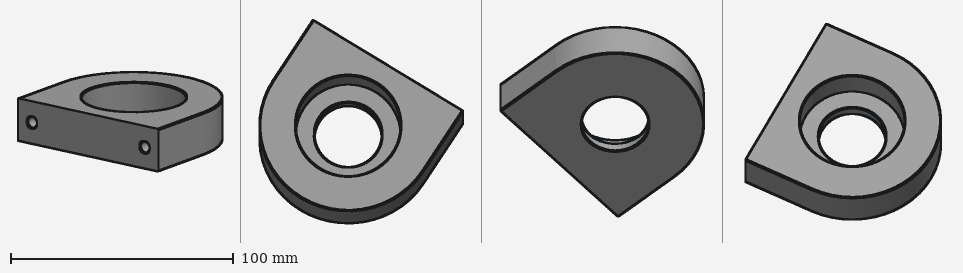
import cadquery as cq
import math

width = 80.0
thickness = 20.0
back_radius = width / 2
axis_to_front = 33.5
edge_chamfer = 0.5

seat_diameter = 47.0
seat_depth = 14.0
through_diameter = 30.0
floor_height = thickness - seat_depth

mount_diameter = 5.0
mount_mouth_diameter = 6.0
mount_spacing = 64.0
mount_depth = 15.0
drill_point_angle = 118.0


def make_body():
    """D-shaped plate, chamfered top and bottom along all but the front edges."""
    plate = (
        cq.Workplane("XY")
        .moveTo(-back_radius, -axis_to_front)
        .lineTo(back_radius, -axis_to_front)
        .lineTo(back_radius, 0)
        .threePointArc((0, back_radius), (-back_radius, 0))
        .close()
        .extrude(thickness)
    )
    return plate.faces("<Z or >Z").edges("not(<Y)").chamfer(edge_chamfer)


def make_bore():
    """Bearing seat and through hole as one revolved cutter, with every open rim chamfered."""
    seat_radius = seat_diameter / 2
    through_radius = through_diameter / 2
    return (
        cq.Workplane("XZ")
        .lineTo(through_radius + edge_chamfer, 0)
        .lineTo(through_radius, edge_chamfer)
        .lineTo(through_radius, floor_height - edge_chamfer)
        .lineTo(through_radius + edge_chamfer, floor_height)
        .lineTo(seat_radius, floor_height)
        .lineTo(seat_radius, thickness - edge_chamfer)
        .lineTo(seat_radius + edge_chamfer, thickness)
        .lineTo(0, thickness)
        .close()
        .revolve(360, (0, 0), (0, 1))
    )


def make_mount_hole(x):
    """Drilled hole along +Y from the front face, with a countersunk mouth and a conical end."""
    radius = mount_diameter / 2
    mouth_radius = mount_mouth_diameter / 2
    mouth_depth = mouth_radius - radius
    point_length = radius / math.tan(math.radians(drill_point_angle / 2))
    return (
        cq.Workplane("XY")
        .lineTo(mouth_radius, 0)
        .lineTo(radius, mouth_depth)
        .lineTo(radius, mount_depth)
        .lineTo(0, mount_depth + point_length)
        .close()
        .revolve(360, (0, 0), (0, 1))
        .translate((x, -axis_to_front, thickness / 2))
    )


result = make_body().cut(make_bore())
for side in (-1, 1):
    result = result.cut(make_mount_hole(side * mount_spacing / 2))